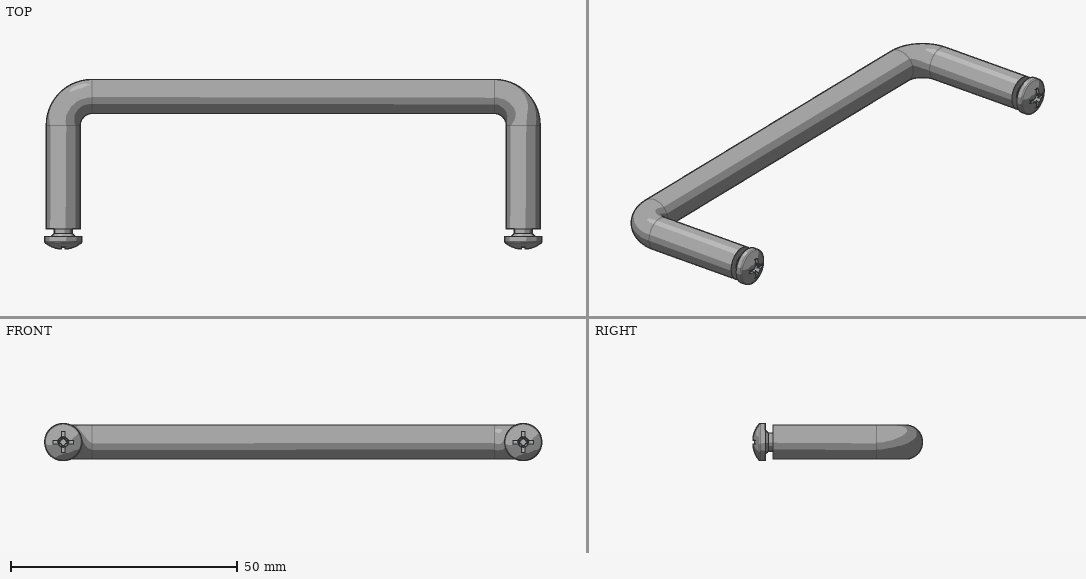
import cadquery as cq
import math

overall_length = 109.8
overall_depth = 37.5

head_diameter = 8.2
shank_diameter = 4.1
collar_diameter = 5.3
shank_length = 1.0
collar_length = 0.7
rim_length = 1.3
dome_height = 1.5
rim_fillet = 0.4

cross_span = 4.6
cross_arm_width = 0.8
cross_depth = 0.9
center_diagonal = 3.3
center_depth = 1.6
center_taper = 18.0

rod_diameter = 7.6
bend_radius = 6.4

screw_length = shank_length + collar_length + rim_length + dome_height
leg_x = (overall_length - head_diameter) / 2
grip_y = overall_depth - screw_length - rod_diameter / 2


def make_handle():
    """U-shaped round rod, with the leg ends at Y = 0."""
    grip_end_x = leg_x - bend_radius
    leg_end_y = grip_y - bend_radius
    bend_inset = bend_radius * (1 - math.sqrt(0.5))
    bend_mid_x = leg_x - bend_inset
    bend_mid_y = grip_y - bend_inset
    center_line = (
        cq.Workplane("XY")
        .moveTo(-leg_x, 0)
        .lineTo(-leg_x, leg_end_y)
        .threePointArc((-bend_mid_x, bend_mid_y), (-grip_end_x, grip_y))
        .lineTo(grip_end_x, grip_y)
        .threePointArc((bend_mid_x, bend_mid_y), (leg_x, leg_end_y))
        .lineTo(leg_x, 0)
    )
    return cq.Workplane("XZ", origin=(-leg_x, 0, 0)).circle(rod_diameter / 2).sweep(center_line)


def make_cross_recess():
    """Cutter for the cross slot and the tapered square pit at its center."""
    tip_plane = cq.Workplane("XZ", origin=(0, -screw_length, 0))
    arm_across = tip_plane.rect(cross_span, cross_arm_width).extrude(-cross_depth)
    arm_upright = tip_plane.rect(cross_arm_width, cross_span).extrude(-cross_depth)
    pit = tip_plane.polygon(4, center_diagonal).extrude(-center_depth, taper=center_taper)
    return arm_across.union(arm_upright).union(pit)


def make_screw(x):
    """Domed screw standing on the leg end at the given X, head toward -Y."""
    head_radius = head_diameter / 2
    collar_end_y = -(shank_length + collar_length)
    rim_end_y = collar_end_y - rim_length
    dome_radius = (head_radius**2 + dome_height**2) / (2 * dome_height)
    dome_mid_x = head_radius / 2
    dome_mid_y = dome_radius - screw_length - math.sqrt(dome_radius**2 - dome_mid_x**2)
    body = (
        cq.Workplane("XY")
        .lineTo(shank_diameter / 2, 0)
        .lineTo(shank_diameter / 2, -shank_length)
        .lineTo(collar_diameter / 2, collar_end_y)
        .lineTo(head_radius, collar_end_y)
        .lineTo(head_radius, rim_end_y)
        .threePointArc((dome_mid_x, dome_mid_y), (0, -screw_length))
        .close()
        .revolve(360, (0, 0, 0), (0, 1, 0))
    )
    body = body.faces("%SPHERE").edges(">Y").fillet(rim_fillet)
    return body.cut(make_cross_recess()).translate((x, 0, 0))


handle = make_handle()
screws = [make_screw(x) for x in (-leg_x, leg_x)]

result = cq.Compound.makeCompound([handle.val(), *[screw.solids().val() for screw in screws]])